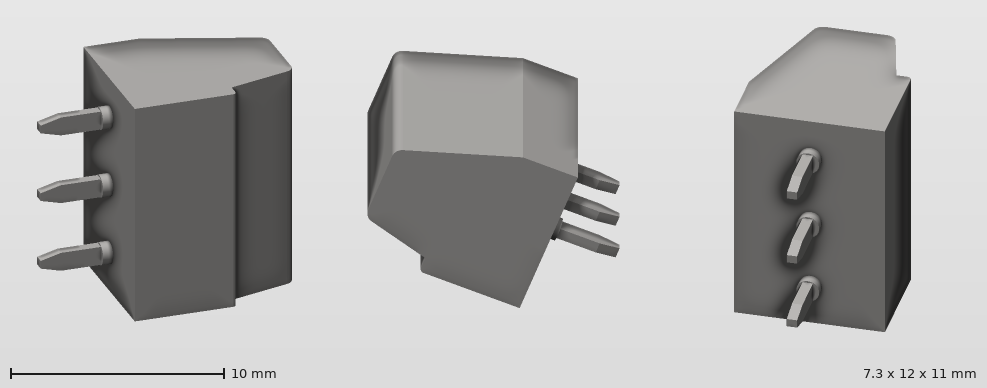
import cadquery as cq
import math

TOTAL_LENGTH = 12.0
HOUSING_WIDTH = 7.3
HOUSING_HEIGHT = 11.0

PIN_COUNT = 3
PIN_PITCH = 3.5
PIN_X = 3.7
PIN_PROJECTION = 3.5
COLLAR_DIAMETER = 1.1
COLLAR_LENGTH = 0.5
BLADE_THICKNESS = 0.5
BLADE_WIDTH = 0.92
TIP_WIDTH = 0.4
TAPER_LENGTH = 1.01

HOUSING_DEPTH = TOTAL_LENGTH - PIN_PROJECTION
LEFT_WALL_DEPTH = 2.78
LEFT_SLOPE_ANGLE = 18.2
SHELF_DEPTH = 5.08
SHELF_WIDTH = 0.75
RIGHT_SLOPE_ANGLE = 15.0
TOP_FILLET = 0.5
SHELF_FILLET = 0.2


def slope_run(depth, angle):
    """Sideways shift in X of a wall that leans by angle over a depth in Y."""
    return depth * math.tan(math.radians(angle))


def make_housing():
    """Constant profile along Z, with the base face at Y = 0 and the left wall at X = 0."""
    shelf_inner_x = HOUSING_WIDTH - SHELF_WIDTH
    top_left_x = slope_run(HOUSING_DEPTH - LEFT_WALL_DEPTH, LEFT_SLOPE_ANGLE)
    top_right_x = shelf_inner_x - slope_run(HOUSING_DEPTH - SHELF_DEPTH, RIGHT_SLOPE_ANGLE)
    housing = (
        cq.Workplane("XY")
        .polyline([
            (0, 0),
            (HOUSING_WIDTH, 0),
            (HOUSING_WIDTH, SHELF_DEPTH),
            (shelf_inner_x, SHELF_DEPTH),
            (top_right_x, HOUSING_DEPTH),
            (top_left_x, HOUSING_DEPTH),
            (0, LEFT_WALL_DEPTH),
        ])
        .close()
        .extrude(HOUSING_HEIGHT)
    )
    housing = housing.faces(">Y").edges("|Z").fillet(TOP_FILLET)
    shelf_corner = cq.selectors.NearestToPointSelector((HOUSING_WIDTH, SHELF_DEPTH, HOUSING_HEIGHT / 2))
    return housing.edges(shelf_corner).fillet(SHELF_FILLET)


def make_pin(z):
    """Round collar against the base face, then a flat blade tapering in Z to its tip."""
    collar = (
        cq.Workplane("XZ")
        .center(PIN_X, z)
        .circle(COLLAR_DIAMETER / 2)
        .extrude(COLLAR_LENGTH)
    )
    taper_start = -(PIN_PROJECTION - TAPER_LENGTH)
    blade = (
        cq.Workplane("YZ", origin=(PIN_X, 0, z))
        .polyline([
            (0, -BLADE_WIDTH / 2),
            (taper_start, -BLADE_WIDTH / 2),
            (-PIN_PROJECTION, -TIP_WIDTH / 2),
            (-PIN_PROJECTION, TIP_WIDTH / 2),
            (taper_start, BLADE_WIDTH / 2),
            (0, BLADE_WIDTH / 2),
        ])
        .close()
        .extrude(BLADE_THICKNESS / 2, both=True)
    )
    return collar.union(blade)


result = make_housing()
first_pin_z = HOUSING_HEIGHT / 2 - PIN_PITCH * (PIN_COUNT - 1) / 2
for index in range(PIN_COUNT):
    result = result.union(make_pin(first_pin_z + index * PIN_PITCH))